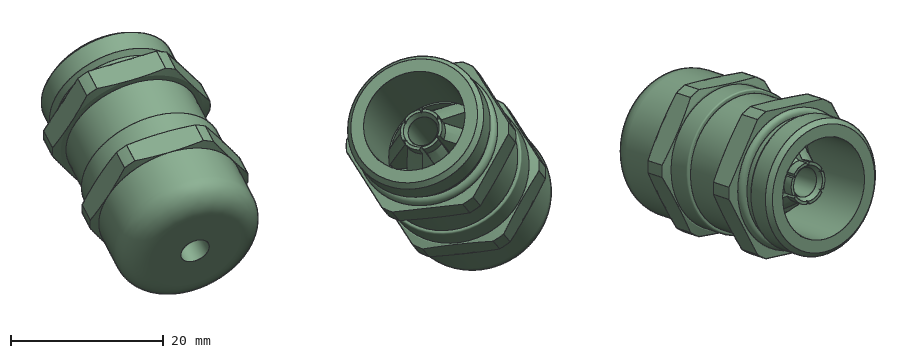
import cadquery as cq
import math

thread_end = 3.65
groove_start = 4.3
seal_start = 5.25
body_hex_start = 6.0
body_hex_end = 9.5
collar_start = 16.1
cap_hex_start = 19.5
cap_hex_end = 23.0
total_length = 32.0

thread_diameter = 18.6
groove_diameter = 17.3
seal_diameter = 19.2
collar_diameter = 19.6
cap_diameter = 19.98
thread_chamfer = 0.65
collar_rounding = 0.22
cap_rounding = 3.5

hex_sides = 6
hex_across_flats = 20.0
hex_corner_diameter = 22.2
hex_chamfer_angle = 15.0

bore_diameter = 13.84
bore_depth = 11.4
pocket_diameter = 13.4
pocket_depth = 13.0
cable_diameter = 4.0

finger_count = 6
finger_width = 2.4
finger_tip = 3.2
finger_tip_radius = 2.85
finger_flare_start = 4.7
finger_mouth_radius = 2.44
finger_mouth_depth = 0.7


def cylinder(start, end, diameter):
    """Round bar along X between two axial positions."""
    return cq.Workplane("YZ", origin=(start, 0, 0)).circle(diameter / 2).extrude(end - start)


def revolve_about_x(points):
    """Solid of revolution about X from (axial, radial) points."""
    return cq.Workplane("XY").polyline(points).close().revolve(360, (0, 0, 0), (1, 0, 0))


def hexagon(start, end, chamfer_start, chamfer_end):
    """Hexagon with two flats facing +-Z, turned corners and optional turned end chamfers."""
    corner_radius = hex_corner_diameter / 2
    flat_radius = hex_across_flats / 2
    chamfer_length = (corner_radius - flat_radius) * math.tan(math.radians(hex_chamfer_angle))
    start_radius = flat_radius if chamfer_start else corner_radius
    end_radius = flat_radius if chamfer_end else corner_radius
    turned_blank = revolve_about_x(
        [
            (start, 0),
            (start, start_radius),
            (start + chamfer_length, corner_radius),
            (end - chamfer_length, corner_radius),
            (end, end_radius),
            (end, 0),
        ]
    )
    across_corners = hex_across_flats / math.cos(math.pi / hex_sides)
    prism = cq.Workplane("YZ", origin=(start, 0, 0)).polygon(hex_sides, across_corners).extrude(end - start)
    return prism.intersect(turned_blank)


def threaded_end():
    """Thread envelope, chamfered at its mouth and sloping down into the undercut."""
    thread_radius = thread_diameter / 2
    groove_radius = groove_diameter / 2
    return revolve_about_x(
        [
            (0, 0),
            (0, thread_radius - thread_chamfer),
            (thread_chamfer, thread_radius),
            (thread_end, thread_radius),
            (groove_start, groove_radius),
            (seal_start, groove_radius),
            (seal_start, 0),
        ]
    )


def seal_ring():
    """Sealing ring against the body hexagon, its free side a full quarter round."""
    ring_radius = seal_diameter / 2
    rounding = body_hex_start - seal_start
    midpoint_offset = rounding * math.cos(math.pi / 4)
    outline = (
        cq.Workplane("XY")
        .moveTo(seal_start, 0)
        .lineTo(seal_start, ring_radius - rounding)
        .threePointArc(
            (body_hex_start - midpoint_offset, ring_radius - rounding + midpoint_offset),
            (body_hex_start, ring_radius),
        )
        .lineTo(body_hex_start, 0)
        .close()
    )
    return outline.revolve(360, (0, 0, 0), (1, 0, 0))


def outer_body():
    """Everything outside, as one solid bar."""
    body_hex = hexagon(body_hex_start, body_hex_end, False, True)
    barrel = cylinder(body_hex_end, collar_start, thread_diameter)
    collar = cylinder(collar_start, cap_hex_start, collar_diameter).faces("<X").edges().fillet(collar_rounding)
    cap_hex = hexagon(cap_hex_start, cap_hex_end, True, True)
    cap = cylinder(cap_hex_end, total_length, cap_diameter).faces(">X").edges().fillet(cap_rounding)
    body = threaded_end()
    for section in (seal_ring(), body_hex, barrel, collar, cap_hex, cap):
        body = body.union(section)
    return body


def clamping_fingers():
    """Fingers with straight tips that flare out to the bore wall, joined around the cable hole."""
    cable_radius = cable_diameter / 2
    bore_radius = bore_diameter / 2
    flared_sleeve = revolve_about_x(
        [
            (finger_tip, finger_mouth_radius),
            (finger_tip, finger_tip_radius),
            (finger_flare_start, finger_tip_radius),
            (bore_depth, bore_radius),
            (pocket_depth, bore_radius),
            (pocket_depth, cable_radius),
            (finger_tip + finger_mouth_depth, cable_radius),
        ]
    )
    spokes = cq.Workplane("XY")
    for index in range(finger_count):
        spoke = (
            cq.Workplane("XY")
            .box(pocket_depth, bore_diameter, finger_width, centered=(False, False, True))
            .rotate((0, 0, 0), (1, 0, 0), index * 360 / finger_count)
        )
        spokes = spokes.union(spoke)
    return flared_sleeve.intersect(spokes)


bore = cylinder(0, bore_depth, bore_diameter)
pocket = cylinder(bore_depth, pocket_depth, pocket_diameter)
cable_hole = cylinder(0, total_length, cable_diameter)

result = outer_body().cut(bore).cut(pocket).cut(cable_hole).union(clamping_fingers())